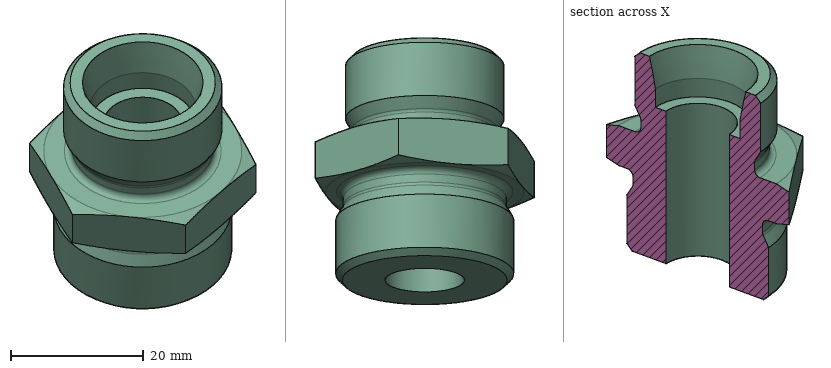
import cadquery as cq
import math

total_height = 35.0
hex_across_flats = 30.0
hex_height = 7.0
hex_chamfer_angle = 15.0

upper_thread_diameter = 24.0
upper_neck_diameter = 21.7
lower_thread_diameter = 27.0
lower_neck_diameter = 24.7
end_chamfer = 1.0
thread_start_offset = 4.55
thread_runout_angle = 30.0
neck_fillet = 1.0

bore_diameter = 12.0
counterbore_diameter = 16.0
counterbore_depth = 8.47
mouth_diameter = 18.25
mouth_half_angle = 12.0

mid_height = total_height / 2
hex_bottom = mid_height - hex_height / 2
hex_top = mid_height + hex_height / 2
hex_corner_radius = hex_across_flats / 2 / math.cos(math.radians(30))


def hex_collar():
    """Hexagon with corners on Y and both faces chamfered by a cone."""
    prism = (
        cq.Workplane("XY", origin=(0, 0, hex_bottom))
        .polygon(6, 2 * hex_corner_radius)
        .extrude(hex_height)
        .rotate((0, 0, 0), (0, 0, 1), 30)
    )
    flat_radius = hex_across_flats / 2
    rim_radius = hex_corner_radius + 0.35
    rim_drop = (rim_radius - flat_radius) * math.tan(math.radians(hex_chamfer_angle))
    envelope = (
        cq.Workplane("XZ")
        .polyline([
            (0, hex_bottom),
            (flat_radius, hex_bottom),
            (rim_radius, hex_bottom + rim_drop),
            (rim_radius, hex_top - rim_drop),
            (flat_radius, hex_top),
            (0, hex_top),
        ])
        .close()
        .revolve(360, (0, 0, 0), (0, 1, 0))
    )
    return prism.intersect(envelope)


def threaded_end(thread_diameter, neck_diameter):
    """Upward-pointing end, from mid-height to the top, with a filleted undercut neck."""
    thread_radius = thread_diameter / 2
    neck_radius = neck_diameter / 2
    thread_start = hex_top + thread_start_offset
    runout_length = (thread_radius - neck_radius) / math.tan(math.radians(thread_runout_angle))
    neck_end = thread_start - runout_length

    half_turn = math.radians(thread_runout_angle / 2)
    tangent_length = neck_fillet * math.tan(half_turn)
    runout = math.radians(thread_runout_angle)
    neck_tangent = (neck_radius, neck_end - tangent_length)
    cone_tangent = (
        neck_radius + tangent_length * math.sin(runout),
        neck_end + tangent_length * math.cos(runout),
    )
    runout_arc_middle = (
        neck_radius + neck_fillet * (1 - math.cos(half_turn)),
        neck_tangent[1] + neck_fillet * math.sin(half_turn),
    )
    root_arc_offset = neck_fillet * (1 - math.sqrt(0.5))

    return (
        cq.Workplane("XZ")
        .moveTo(0, mid_height)
        .lineTo(neck_radius + neck_fillet, mid_height)
        .lineTo(neck_radius + neck_fillet, hex_top)
        .threePointArc(
            (neck_radius + root_arc_offset, hex_top + root_arc_offset),
            (neck_radius, hex_top + neck_fillet),
        )
        .lineTo(*neck_tangent)
        .threePointArc(runout_arc_middle, cone_tangent)
        .lineTo(thread_radius, thread_start)
        .lineTo(thread_radius, total_height - end_chamfer)
        .lineTo(thread_radius - end_chamfer, total_height)
        .lineTo(0, total_height)
        .close()
        .revolve(360, (0, 0, 0), (0, 1, 0))
    )


def bore():
    """Through hole opening into a counterbore and a tapered mouth at the top."""
    counterbore_radius = counterbore_diameter / 2
    mouth_radius = mouth_diameter / 2
    taper_depth = (mouth_radius - counterbore_radius) / math.tan(math.radians(mouth_half_angle))
    counterbore_floor = total_height - counterbore_depth
    return (
        cq.Workplane("XZ")
        .polyline([
            (0, 0),
            (bore_diameter / 2, 0),
            (bore_diameter / 2, counterbore_floor),
            (counterbore_radius, counterbore_floor),
            (counterbore_radius, total_height - taper_depth),
            (mouth_radius, total_height),
            (0, total_height),
        ])
        .close()
        .revolve(360, (0, 0, 0), (0, 1, 0))
    )


upper_end = threaded_end(upper_thread_diameter, upper_neck_diameter)
lower_end = threaded_end(lower_thread_diameter, lower_neck_diameter).mirror("XY", (0, 0, mid_height))

result = hex_collar().union(upper_end).union(lower_end).cut(bore())